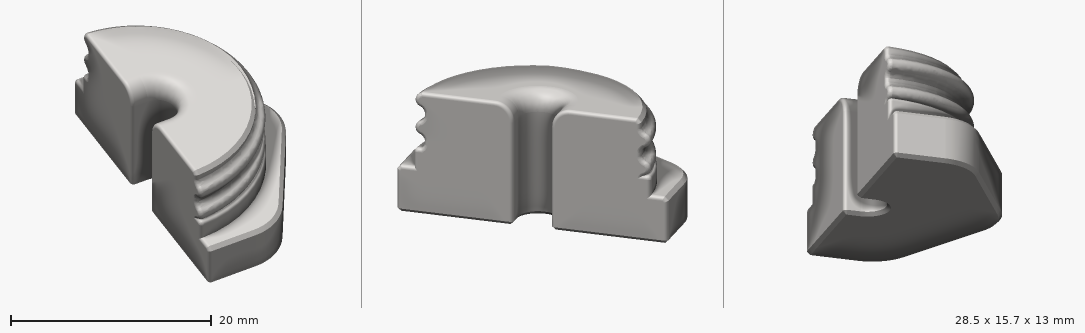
import cadquery as cq
import math

across_flats = 28.5
height = 13.0
base_height = 5.0
corner_radius = 5.0
edge_break = 0.4
bottom_bevel = 0.37

collar_radius = 12.45
collar_top = 7.0
core_radius = 11.4

pitch = 2.95
crest_radius = 12.37
crest_round = 0.75
thread_root = 11.37
top_crest_start = 10.7
ridge_count = 3
overrun = 8.0
ridge_embed = 0.57

bore_radius = 2.0
bore_center_y = 1.8
flare_radius = 2.0


def make_base():
    corner_distance = across_flats / math.sqrt(3)
    base = (
        cq.Workplane("XY")
        .polygon(6, 2 * corner_distance)
        .extrude(base_height)
        .rotate((0, 0, 0), (0, 0, 1), 30)
    )
    base = base.edges("|Z").fillet(corner_radius)
    return base.faces(">Z").edges().chamfer(edge_break)


def make_boss():
    collar = cq.Workplane("XY").circle(collar_radius).extrude(collar_top)
    collar = collar.faces(">Z").edges().fillet(edge_break)
    core = cq.Workplane("XY").circle(core_radius).extrude(height)
    core = core.faces(">Z").edges().chamfer(edge_break)
    return collar.union(core)


def make_ridge(start_height):
    """Half a turn of rounded thread, rising from +X round +Y to -X."""
    half_pitch = pitch / 2
    depth = crest_radius - thread_root
    round_sum = (half_pitch**2 + depth**2) / (2 * depth)
    root_round = round_sum - crest_round
    crest_center = crest_radius - crest_round
    root_center = thread_root + root_round
    flank_share = crest_round / round_sum
    flank_r = crest_center + (root_center - crest_center) * flank_share
    flank_z = half_pitch * flank_share
    half_flank = math.asin((half_pitch - flank_z) / root_round) / 2
    root_mid_r = root_center - root_round * math.cos(half_flank)
    root_mid_z = half_pitch - root_round * math.sin(half_flank)
    inner_r = thread_root - ridge_embed

    turn = 180 + 2 * overrun
    lead_in = pitch * overrun / 360
    path = cq.Wire.makeHelix(pitch, pitch * turn / 360, crest_radius)
    profile = (
        cq.Workplane("XZ")
        .moveTo(inner_r, -half_pitch)
        .lineTo(thread_root, -half_pitch)
        .threePointArc((root_mid_r, -root_mid_z), (flank_r, -flank_z))
        .threePointArc((crest_radius, 0), (flank_r, flank_z))
        .threePointArc((root_mid_r, root_mid_z), (thread_root, half_pitch))
        .lineTo(inner_r, half_pitch)
        .close()
    )
    ridge = profile.sweep(cq.Workplane(path), isFrenet=True)
    ridge = ridge.rotate((0, 0, 0), (0, 0, 1), -overrun)
    return ridge.translate((0, 0, start_height - lead_in))


def slot_profile():
    """Half section of the slot: bore side below, quarter-round flare above."""
    flare_start = height - flare_radius
    outer_radius = bore_radius + flare_radius
    bend = flare_radius * math.sqrt(0.5)
    return (
        cq.Workplane("XZ")
        .lineTo(bore_radius, 0)
        .lineTo(bore_radius, flare_start)
        .threePointArc(
            (outer_radius - bend, flare_start + bend), (outer_radius, height)
        )
        .lineTo(0, height)
        .close()
    )


def make_slot():
    """Straight-sided slot with a round end and a mouth flared at the top."""
    round_end = slot_profile().revolve(360, (0, 0), (0, 1))
    half_straight = slot_profile().extrude(across_flats)
    straight = half_straight.union(half_straight.mirror("YZ"))
    return round_end.union(straight).translate((0, bore_center_y, 0))


body = make_base().union(make_boss())
for index in range(ridge_count):
    body = body.union(make_ridge(top_crest_start - index * pitch))

half_space = cq.Workplane("XY").box(
    2 * across_flats, across_flats, height, centered=(True, False, False)
)
body = body.intersect(half_space).cut(make_slot())

body = body.faces("<Y").edges("not(<Z)").fillet(edge_break)
result = body.faces("<Z").edges().chamfer(bottom_bevel)